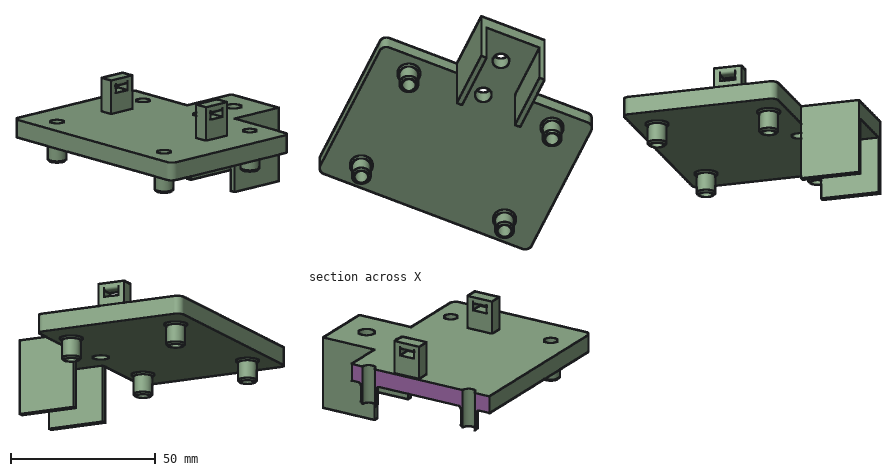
import cadquery as cq

plate_width = 80.0
plate_depth = 56.0
plate_thickness = 6.4
plate_corner_radius = 2.5

total_depth = 77.0
tab_width = 24.0
tab_length = total_depth - plate_depth
wall_thickness = 2.0
wall_drop = 20.0
tab_hole_diameter = 5.8
tab_hole_spacing = 15.0
tab_hole_rear_margin = 10.3

boss_spacing_x = 54.2
boss_spacing_y = 40.6
boss_front_margin = 8.5
boss_diameter = 6.6
boss_height = 7.7
boss_chamfer = 0.7
boss_base_flare = 0.7
boss_bore_diameter = 4.8

post_spacing = 48.0
post_width = 5.0
post_depth = 10.0
post_height = 12.0
post_center_y = 33.9
slot_width = 5.6
slot_height = 3.2
slot_floor = 7.1
slot_lip_radius = 1.0


def make_plate():
    plate = cq.Workplane("XY").box(
        plate_width, plate_depth, plate_thickness, centered=(True, False, False)
    )
    return plate.edges("|Z").fillet(plate_corner_radius).translate((0, 0, -plate_thickness))


def make_bracket():
    tab_bottom = -plate_thickness
    tab = (
        cq.Workplane("XY", origin=(0, plate_depth / 2, tab_bottom))
        .box(tab_width, total_depth - plate_depth / 2, plate_thickness, centered=(True, False, False))
    )
    wall_height = plate_thickness + wall_drop
    wall_offset = (tab_width - wall_thickness) / 2
    walls = (
        cq.Workplane("XY", origin=(0, plate_depth + tab_length / 2, -wall_height))
        .pushPoints([(-wall_offset, 0), (wall_offset, 0)])
        .box(wall_thickness, tab_length, wall_height, centered=(True, True, False))
    )
    return tab.union(walls)


def make_boss():
    """Revolved boss with a flared base and a chamfered end, hanging from the plate."""
    radius = boss_diameter / 2
    base_z = -plate_thickness
    end_z = base_z - boss_height
    return (
        cq.Workplane("XZ")
        .moveTo(0, base_z)
        .lineTo(radius + boss_base_flare, base_z)
        .lineTo(radius, base_z - boss_base_flare)
        .lineTo(radius, end_z + boss_chamfer)
        .lineTo(radius - boss_chamfer, end_z)
        .lineTo(0, end_z)
        .close()
        .revolve(360, (0, 0, 0), (0, 1, 0))
    )


def make_post():
    """Post with a slot through it along X; the slot's upper lips are rounded."""
    post = cq.Workplane("XY").box(post_width, post_depth, post_height, centered=(True, True, False))
    half_width = post_width / 2
    slot_top = slot_floor + slot_height
    slot_ceiling = slot_top - slot_lip_radius
    inner_x = half_width - slot_lip_radius
    lip_shift = slot_lip_radius * (1 - 0.5 ** 0.5)
    slot = (
        cq.Workplane("XZ")
        .moveTo(-half_width, slot_floor)
        .lineTo(half_width, slot_floor)
        .lineTo(half_width, slot_top)
        .threePointArc((half_width - lip_shift, slot_ceiling + lip_shift), (inner_x, slot_ceiling))
        .lineTo(-inner_x, slot_ceiling)
        .threePointArc((lip_shift - half_width, slot_ceiling + lip_shift), (-half_width, slot_top))
        .close()
        .extrude(slot_width / 2, both=True)
    )
    return post.cut(slot)


def through_holes(points, diameter):
    """Cutters long enough to pass through the plate and the bosses."""
    depth = plate_thickness + boss_height
    return cq.Workplane("XY").pushPoints(points).circle(diameter / 2).extrude(-depth)


boss_points = [
    (side * boss_spacing_x / 2, boss_front_margin + row * boss_spacing_y)
    for side in (-1, 1)
    for row in (0, 1)
]
rear_hole_y = total_depth - tab_hole_rear_margin
tab_hole_points = [(0, rear_hole_y), (0, rear_hole_y - tab_hole_spacing)]

result = make_plate().union(make_bracket())
for x, y in boss_points:
    result = result.union(make_boss().translate((x, y, 0)))
for side in (-1, 1):
    result = result.union(make_post().translate((side * post_spacing / 2, post_center_y, 0)))
result = result.cut(through_holes(boss_points, boss_bore_diameter))
result = result.cut(through_holes(tab_hole_points, tab_hole_diameter))